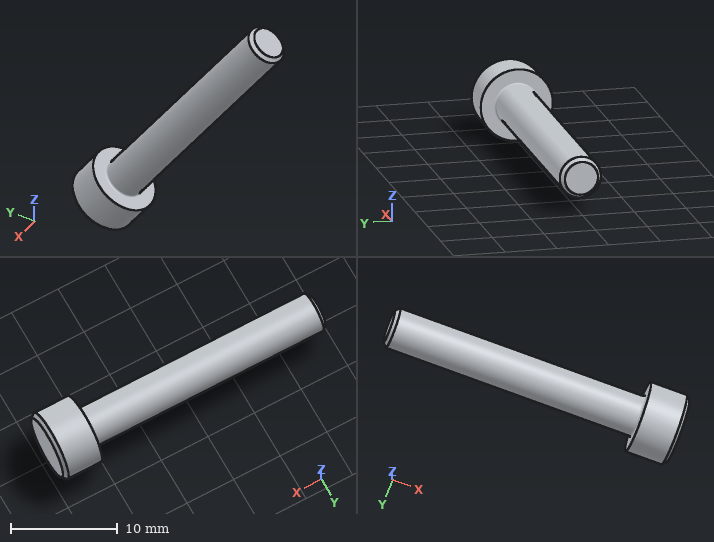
import cadquery as cq

shank_diameter = 4.0
shank_length = 25.0
tip_chamfer = 0.4

head_diameter = 7.0
head_height = 4.0
head_chamfer = 0.4

neck_fillet = 0.2


def cylinder_along_x(start, length, diameter):
    """Solid cylinder on the X axis, beginning at X = start."""
    return cq.Workplane("YZ", origin=(start, 0, 0)).circle(diameter / 2).extrude(length)


def make_shank():
    """Plain cylindrical shank with a chamfered tip."""
    shank = cylinder_along_x(-shank_length, shank_length, shank_diameter)
    return shank.faces("<X").chamfer(tip_chamfer)


def make_head():
    """Cylindrical head with a chamfered outer rim."""
    head = cylinder_along_x(0, head_height, head_diameter)
    return head.faces(">X").chamfer(head_chamfer)


def round_neck(screw):
    """Fillet the inside corner between the shank and the underside of the head."""
    neck_corner = cq.selectors.RadiusNthSelector(0)
    head_underside = screw.faces(cq.selectors.NearestToPointSelector((0, head_diameter / 2, 0)))
    return head_underside.edges(neck_corner).fillet(neck_fillet)


result = round_neck(make_shank().union(make_head()))